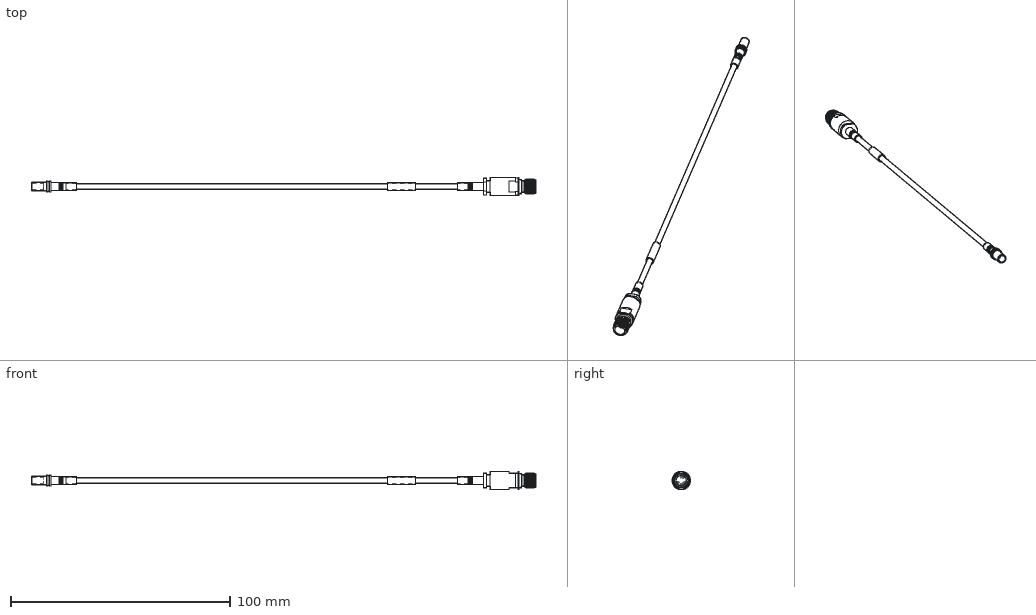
import cadquery as cq

overall_length = 230.33

cable_radius = 1.3
marker_radius = 1.8
marker_start = 162.6
marker_length = 12.6
ferrule_radius = 1.8
ferrule_length = 4.8

tail_radius = 1.8
rib_pitch = 0.7
rib_groove_width = rib_pitch / 2
rib_groove_depth = 0.2
rib_count = 3
ribs_length = rib_count * rib_pitch

plug_radius = 2.0
plug_tip_chamfer = 0.3
plug_bore_radius = 1.45
plug_bore_depth = 5.5
collar_radius = 2.5
collar_start = 6.8
collar_length = 2.2
collar_groove_radius = 2.2
collar_groove_length = collar_length / 3
plug_neck_radius = 1.9
plug_neck_end = 12.5
plug_land_length = 1.1
plug_end = plug_neck_end + ribs_length + plug_land_length

jack_start = 199.2
jack_ribs_end = jack_start + ribs_length
stem_radius = 1.9
flange_start = 206.2
flange_length = 1.5
flange_radius = 3.9
flange_end = flange_start + flange_length
jack_neck_radius = 2.7

body_start = 209.3
body_radius = 8.38 / 2
body_end = 222.4
flat_height = 3.35
flat_start = 218.0
rim_length = 0.3
rim_start = body_end - rim_length
body_groove_radius = 4.0
body_groove_length = 1.3

shank_radius = 3.3
shank_end = 223.6
thread_relief_radius = 2.7
thread_radius = 3.5
thread_pitch = 0.7056
thread_depth = 0.45
thread_count = 7
thread_chamfer = 0.5
thread_chamfer_length = 1.5
thread_lead = 0.4
thread_start = overall_length - thread_count * thread_pitch
thread_core_start = thread_start - thread_lead
socket_radius = 2.3
socket_depth = 6.0


def rod(start, end, radius):
    return cq.Workplane("YZ", origin=(start, 0, 0)).circle(radius).extrude(end - start)


def tube(start, end, outer_radius, inner_radius):
    return rod(start, end, outer_radius).cut(rod(start, end, inner_radius))


def groove(start, length, bottom_radius):
    """Ring to cut from a round part, leaving it with the given radius."""
    return tube(start, start + length, 2 * body_radius, bottom_radius)


def ribs(start):
    """Short rod ringed by evenly spaced grooves."""
    tail = rod(start, start + ribs_length, tail_radius)
    for i in range(rib_count):
        groove_start = start + i * rib_pitch + (rib_pitch - rib_groove_width) / 2
        tail = tail.cut(groove(groove_start, rib_groove_width, tail_radius - rib_groove_depth))
    return tail


def with_flats(round_part, start, end):
    """Cuts wrench flats above and below a round part between two stations."""
    cutter_height = body_radius
    for side in (1, -1):
        cutter = (
            cq.Workplane("XY")
            .box(end - start, 2 * body_radius, cutter_height, centered=(False, True, True))
            .translate((start, 0, side * (flat_height + cutter_height / 2)))
        )
        round_part = round_part.cut(cutter)
    return round_part


def make_plug():
    plug = rod(0, collar_start, plug_radius).faces("<X").chamfer(plug_tip_chamfer)
    collar = rod(collar_start, collar_start + collar_length, collar_radius)
    collar = collar.cut(groove(collar_start + collar_groove_length, collar_groove_length, collar_groove_radius))
    plug = plug.union(collar)
    plug = plug.union(rod(collar_start + collar_length, plug_neck_end, plug_neck_radius))
    plug = plug.union(ribs(plug_neck_end))
    plug = plug.union(rod(plug_end - plug_land_length, plug_end, tail_radius))
    return plug.cut(rod(0, plug_bore_depth, plug_bore_radius)).clean()


def make_body():
    body = rod(body_start, body_end, body_radius)
    body = body.cut(groove(rim_start - body_groove_length, body_groove_length, body_groove_radius))
    return with_flats(body, flat_start, rim_start)


def make_thread():
    """Ring-shaped thread crests, tapered towards the open end."""
    root_radius = thread_radius - thread_depth
    profile = cq.Workplane("XZ").moveTo(thread_core_start, 0)
    profile = profile.lineTo(thread_core_start, root_radius).lineTo(thread_start, root_radius)
    for i in range(thread_count):
        x = thread_start + i * thread_pitch
        profile = profile.lineTo(x + thread_pitch / 2, thread_radius)
        profile = profile.lineTo(x + thread_pitch, root_radius)
    thread = profile.lineTo(overall_length, 0).close().revolve(360, (0, 0, 0), (1, 0, 0))
    envelope = rod(thread_core_start, overall_length, thread_radius)
    return thread.intersect(envelope.faces(">X").chamfer(thread_chamfer_length, thread_chamfer))


def make_jack():
    jack = ribs(jack_start)
    jack = jack.union(rod(jack_ribs_end, flange_start, stem_radius))
    jack = jack.union(with_flats(rod(flange_start, flange_end, flange_radius), flange_start, flange_end))
    jack = jack.union(rod(flange_end, body_start, jack_neck_radius))
    jack = jack.union(make_body())
    jack = jack.union(rod(body_end, shank_end, shank_radius))
    jack = jack.union(rod(shank_end, thread_core_start, thread_relief_radius))
    jack = jack.union(make_thread())
    return jack.cut(rod(overall_length - socket_depth, overall_length, socket_radius)).clean()


plug = make_plug()
jack = make_jack()
cable = rod(plug_end, jack_start, cable_radius)
marker = tube(marker_start, marker_start + marker_length, marker_radius, cable_radius)
ferrules = [
    tube(start, start + ferrule_length, ferrule_radius, cable_radius)
    for start in (plug_end, jack_start - ferrule_length)
]

result = cq.Compound.makeCompound([body.val() for body in (plug, jack, cable, marker, *ferrules)])